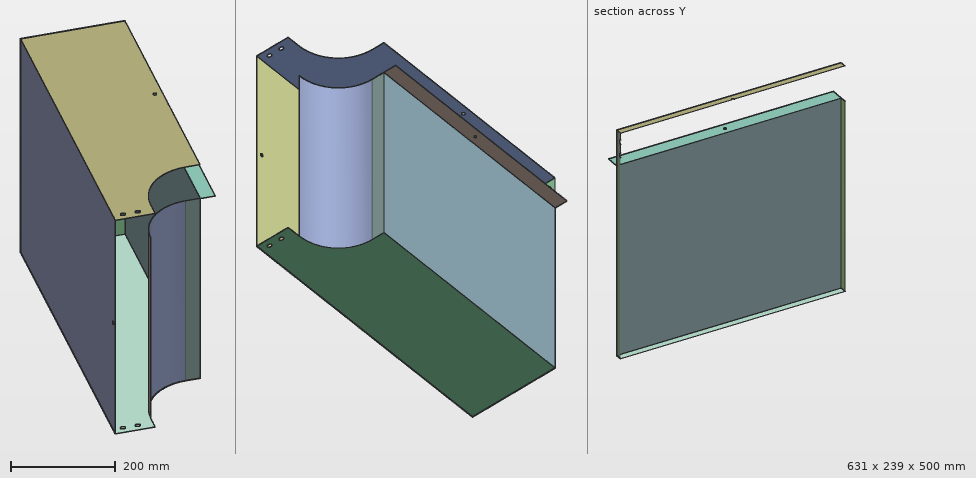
import cadquery as cq

length = 631.0
height = 500.0
overall_depth = 239.0
sheet = 1.0

notch_x = 500.0
notch_y = 80.0
notch_radius = 100.0
notch_center_x = notch_x + notch_radius
notch_center_y = notch_y + notch_radius

flange_width = 30.0
flange_drop = 79.0
back_y = overall_depth - flange_width
flange_top = height - flange_drop
back_length = notch_x + sheet

flange_hole_diameter = 5.0
panel_hole_diameter = 7.0
slot_width = 7.0
left_slot_width = 9.0
slot_length = 10.0
edge_offset = 15.0
slot_offsets = (20.0, 50.0)
cut_margin = 6.0


def box(x_size, y_size, z_size, corner):
    return cq.Workplane("XY").box(x_size, y_size, z_size, centered=False).translate(corner)


def plan_panel(bottom_z):
    """Horizontal sheet with the concave notch."""
    return (
        cq.Workplane("XY")
        .workplane(offset=bottom_z)
        .lineTo(length, 0)
        .lineTo(length, notch_y)
        .lineTo(notch_center_x, notch_y)
        .radiusArc((notch_x, notch_center_y), notch_radius)
        .lineTo(notch_x, back_y)
        .lineTo(0, back_y)
        .close()
        .extrude(sheet)
    )


def rear_wall():
    """Bent sheet wrapped around the outside of the back and the notch, up to the flange."""
    return (
        cq.Workplane("XY")
        .moveTo(0, back_y)
        .lineTo(notch_x, back_y)
        .lineTo(notch_x, notch_center_y)
        .radiusArc((notch_center_x, notch_y), -notch_radius)
        .lineTo(notch_center_x, notch_y + sheet)
        .radiusArc((back_length, notch_center_y), notch_radius - sheet)
        .lineTo(back_length, back_y + sheet)
        .lineTo(0, back_y + sheet)
        .close()
        .extrude(flange_top)
    )


def build_enclosure():
    """Front, left, top, bottom and rear sheets with the outward flange."""
    front = box(length, sheet, height, (0, 0, 0))
    left = box(sheet, back_y, height, (0, 0, 0))
    flange = box(back_length, flange_width, sheet, (0, back_y, flange_top - sheet))
    body = front.union(left).union(rear_wall()).union(flange)
    for bottom_z in (0, height - sheet):
        body = body.union(plan_panel(bottom_z))
    return body


def end_slots():
    """Slots through the top and bottom sheets at the right end."""
    return (
        cq.Workplane("XY")
        .workplane(offset=-cut_margin)
        .pushPoints([(length - edge_offset, y) for y in slot_offsets])
        .slot2D(slot_length, slot_width, 90)
        .extrude(height + 2 * cut_margin)
    )


def left_slots():
    """Vertical slots through the left sheet, near its upper rear corner."""
    return (
        cq.Workplane("YZ")
        .workplane(offset=-cut_margin)
        .pushPoints([(back_y - edge_offset, height - offset) for offset in slot_offsets])
        .slot2D(slot_length, left_slot_width, 90)
        .extrude(sheet + 2 * cut_margin)
    )


def rear_hole(y, sheet_bottom, diameter):
    """Round hole through one horizontal sheet, centred along the back."""
    return (
        cq.Workplane("XY")
        .workplane(offset=sheet_bottom - cut_margin)
        .center(back_length / 2, y)
        .circle(diameter / 2)
        .extrude(sheet + 2 * cut_margin)
    )


def front_hole():
    """Round hole through the front sheet at mid height."""
    return (
        cq.Workplane("XZ")
        .workplane(offset=-sheet - cut_margin)
        .center(length - edge_offset, height / 2)
        .circle(panel_hole_diameter / 2)
        .extrude(sheet + 2 * cut_margin)
    )


flange_hole = rear_hole(back_y + edge_offset, flange_top - sheet, flange_hole_diameter)
top_hole = rear_hole(back_y - edge_offset, height - sheet, panel_hole_diameter)

result = build_enclosure()
for cutter in (end_slots(), left_slots(), flange_hole, top_hole, front_hole()):
    result = result.cut(cutter)